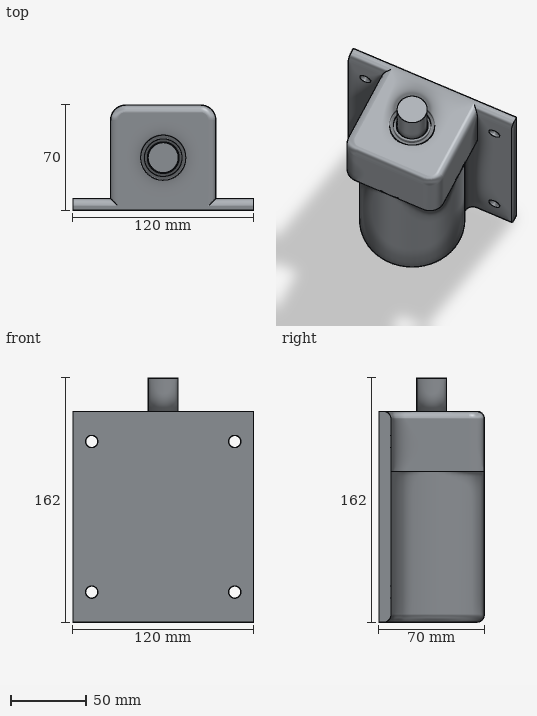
import cadquery as cq
import math

plate_width = 120.0
plate_height = 140.0
plate_thickness = 8.0
hole_diameter = 8.0
hole_spacing_x = 95.0
hole_spacing_z = 100.0
hole_center_z = 70.0

head_width = 70.0
head_height = 40.0
head_corner_radius = 10.0
barrel_radius = head_width / 2
axis_y = head_width / 2
blend_radius = 5.5
edge_radius = 5.0

total_height = 162
shaft_diameter = 20.0
shaft_clearance_diameter = 21
seal_inner_diameter = 25.0
seal_outer_diameter = 30.0
seal_edge_radius = 0.5
seal_depth = 2.0


def make_plate():
    return cq.Workplane("XY").box(
        plate_width, plate_thickness, plate_height, centered=(True, False, False)
    )


def make_head():
    head = cq.Workplane("XY").box(
        head_width, head_width, head_height, centered=(True, False, False)
    )
    head = head.edges("|Z and >Y").fillet(head_corner_radius)
    return head.translate((0, 0, plate_height - head_height))


def make_barrel():
    """Round barrel flowing into the plate through a concave blend on each side."""
    blend_center_y = plate_thickness + blend_radius
    center_distance = barrel_radius + blend_radius
    drop = axis_y - blend_center_y
    blend_center_x = math.sqrt(center_distance**2 - drop**2)
    tangent_x = blend_center_x * barrel_radius / center_distance
    tangent_y = axis_y - drop * barrel_radius / center_distance

    barrel_angle = math.atan2(drop, -blend_center_x)
    middle_angle = (barrel_angle + 3 * math.pi / 2) / 2
    middle_x = blend_center_x + blend_radius * math.cos(middle_angle)
    middle_y = blend_center_y + blend_radius * math.sin(middle_angle)

    return (
        cq.Workplane("XY")
        .moveTo(-blend_center_x, 0)
        .lineTo(blend_center_x, 0)
        .lineTo(blend_center_x, plate_thickness)
        .threePointArc((middle_x, middle_y), (tangent_x, tangent_y))
        .threePointArc((0, axis_y + barrel_radius), (-tangent_x, tangent_y))
        .threePointArc((-middle_x, middle_y), (-blend_center_x, plate_thickness))
        .close()
        .extrude(plate_height - head_height)
    )


def round_end_edges(body):
    """Round the top and bottom rims, leaving the flat back of the plate sharp."""
    for end in (">Z", "<Z"):
        rim = body.faces(end).edges("not(<Y or <X or >X)")
        body = rim.fillet(edge_radius)
    return body


def ring(outer_diameter, inner_diameter, depth):
    """Ring around the shaft axis, reaching down from the top of the head."""
    return (
        cq.Workplane("XY", origin=(0, axis_y, plate_height - depth))
        .circle(outer_diameter / 2)
        .circle(inner_diameter / 2)
        .extrude(depth)
    )


def make_seal_groove():
    """Annular groove with rounded floor corners."""
    groove = ring(seal_outer_diameter, seal_inner_diameter, seal_depth)
    return groove.faces("<Z").edges().fillet(seal_edge_radius)


def round_seal_rims(body):
    """Round both rims of the seal groove where they meet the top of the head."""
    reach = seal_outer_diameter / 2 + seal_edge_radius
    around_seal = cq.selectors.BoxSelector(
        (-reach, axis_y - reach, plate_height - seal_edge_radius),
        (reach, axis_y + reach, plate_height + seal_edge_radius),
        boundingbox=True,
    )
    return body.edges(around_seal).fillet(seal_edge_radius)


def cut_mounting_holes(body):
    return (
        body.faces("<Y")
        .workplane(origin=(0, 0, hole_center_z))
        .rarray(hole_spacing_x, hole_spacing_z, 2, 2)
        .hole(hole_diameter, plate_thickness)
    )


body = make_plate().union(make_head()).union(make_barrel())
body = round_end_edges(body)
body = cut_mounting_holes(body)

body = body.cut(make_seal_groove())
body = round_seal_rims(body)
body = body.cut(ring(shaft_clearance_diameter, shaft_diameter, seal_depth))

shaft = (
    cq.Workplane("XY", origin=(0, axis_y, plate_height - seal_depth))
    .circle(shaft_diameter / 2)
    .extrude(total_height - plate_height + seal_depth)
)
result = body.union(shaft)